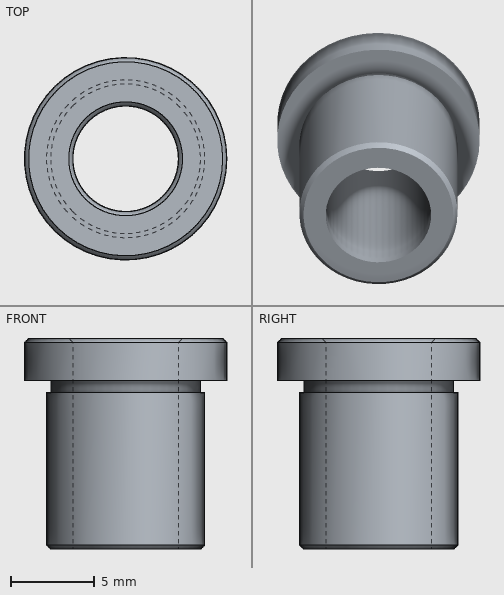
import cadquery as cq

total_height = 12.7
head_diameter = 12.19
head_height = 2.54
body_diameter = 9.52
bore_diameter = 6.35

groove_diameter = 9.02
groove_height = 0.74

edge_chamfer = 0.25

head_bottom = total_height - head_height
groove_bottom = head_bottom - groove_height


def cylinder(diameter, bottom, top):
    """Solid cylinder on the Z axis between two heights."""
    return cq.Workplane("XY").workplane(offset=bottom).circle(diameter / 2).extrude(top - bottom)


body = cylinder(body_diameter, 0, groove_bottom).faces("<Z").chamfer(edge_chamfer)
groove = cylinder(groove_diameter, groove_bottom, head_bottom)
head = cylinder(head_diameter, head_bottom, total_height).faces(">Z").chamfer(edge_chamfer)

bore = cylinder(bore_diameter, 0, total_height)
bore_mouth = (
    cq.Workplane("XY")
    .workplane(offset=total_height - edge_chamfer)
    .circle(bore_diameter / 2)
    .workplane(offset=edge_chamfer)
    .circle(bore_diameter / 2 + edge_chamfer)
    .loft()
)

result = body.union(groove).union(head).cut(bore).cut(bore_mouth)